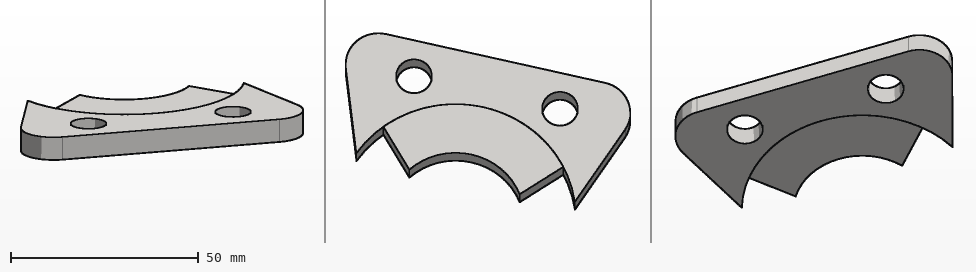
import cadquery as cq
import math

LENGTH = 77.5
THICKNESS = 6.35
BACK_X = 35.95
CORNER_RADIUS = 8.75

HORN_TIP_Y = 29.9
PAD_TIP_Y = 15.1
PAD_OUTER_X = 10.2

SEAT_RADIUS = 32.1
BORE_RADIUS = 18.3
ARC_CENTER_X = -math.sqrt(BORE_RADIUS**2 - PAD_TIP_Y**2)

HOLE_DIAMETER = 9.5
HOLE_X = 26.05
HOLE_SPACING = 40.0


def make_holder():
    """Rounded plate with a concave seat, two horns and two bolt holes."""
    corner_x = BACK_X - CORNER_RADIUS
    corner_y = LENGTH / 2 - CORNER_RADIUS
    tip_x = ARC_CENTER_X + math.sqrt(SEAT_RADIUS**2 - HORN_TIP_Y**2)

    dx = corner_x - tip_x
    dy = corner_y - HORN_TIP_Y
    tangent_angle = math.atan2(dy, dx) + math.asin(CORNER_RADIUS / math.hypot(dx, dy))
    tangent_x = corner_x - CORNER_RADIUS * math.sin(tangent_angle)
    tangent_y = corner_y + CORNER_RADIUS * math.cos(tangent_angle)

    middle_angle = (tangent_angle + math.pi / 2) / 2
    middle_x = corner_x + CORNER_RADIUS * math.cos(middle_angle)
    middle_y = corner_y + CORNER_RADIUS * math.sin(middle_angle)

    plate = (
        cq.Workplane("XY")
        .moveTo(tip_x, HORN_TIP_Y)
        .lineTo(tangent_x, tangent_y)
        .threePointArc((middle_x, middle_y), (BACK_X, corner_y))
        .lineTo(BACK_X, -corner_y)
        .threePointArc((middle_x, -middle_y), (tangent_x, -tangent_y))
        .lineTo(tip_x, -HORN_TIP_Y)
        .threePointArc((ARC_CENTER_X + SEAT_RADIUS, 0), (tip_x, HORN_TIP_Y))
        .close()
        .extrude(THICKNESS)
    )
    holes = (
        cq.Workplane("XY")
        .pushPoints([(HOLE_X, side * HOLE_SPACING / 2) for side in (-1, 1)])
        .circle(HOLE_DIAMETER / 2)
        .extrude(THICKNESS)
    )
    return plate.cut(holes)


def make_pad():
    """Curved pad that fills the holder's seat and carries the inner bore."""
    outer_y = math.sqrt(SEAT_RADIUS**2 - (PAD_OUTER_X - ARC_CENTER_X) ** 2)
    return (
        cq.Workplane("XY")
        .moveTo(0, PAD_TIP_Y)
        .lineTo(PAD_OUTER_X, outer_y)
        .threePointArc((ARC_CENTER_X + SEAT_RADIUS, 0), (PAD_OUTER_X, -outer_y))
        .lineTo(0, -PAD_TIP_Y)
        .threePointArc((ARC_CENTER_X + BORE_RADIUS, 0), (0, PAD_TIP_Y))
        .close()
        .extrude(THICKNESS)
    )


holder = make_holder()
pad = make_pad()

result = cq.Compound.makeCompound([holder.val(), pad.val()])